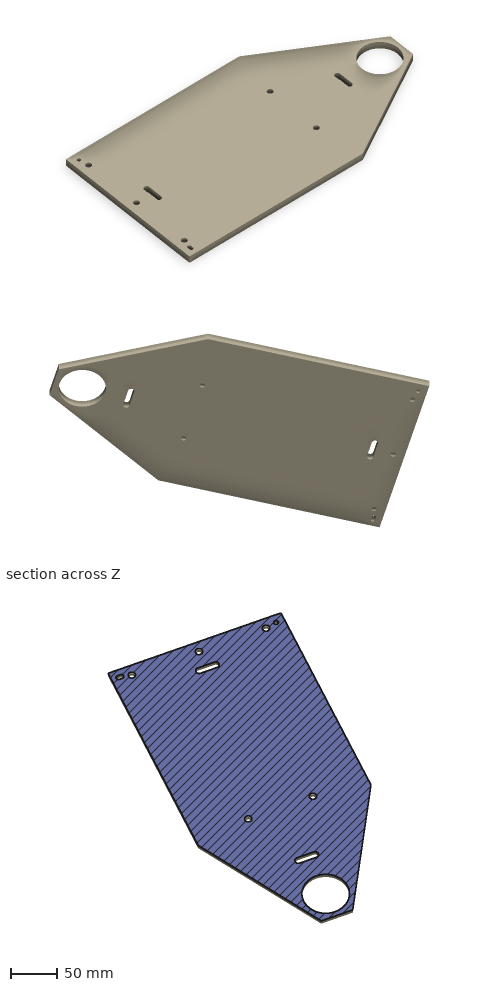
import cadquery as cq

length = 391.5
width = 203.0
thickness = 9.5
nose_width = 37.0
taper_length = 144.0
top_edge = length / 2
bottom_edge = -length / 2

opening_diameter = 51.0
opening_y = top_edge - 31.5

slot_length = 26.5
slot_width = 7.0
upper_slot_y = top_edge - 83.5
lower_slot_y = bottom_edge + 35.5

screw_diameter = 6.0
screw_head_diameter = 7.5
counterbore_depth = 5.5
upper_screw_x = 38.0
upper_screw_y = top_edge - 155.0
lower_screw_x = 78.5
lower_screw_y = bottom_edge + 12.5

pin_diameter = 4.7
pin_slot_length = 8.2
pin_x = 91.5
pin_y = bottom_edge + 9.8


def make_plate():
    """Rectangle whose upper end tapers to a narrow flat nose."""
    shoulder_y = top_edge - taper_length
    return (
        cq.Workplane("XY")
        .moveTo(-width / 2, bottom_edge)
        .lineTo(width / 2, bottom_edge)
        .lineTo(width / 2, shoulder_y)
        .lineTo(nose_width / 2, top_edge)
        .lineTo(-nose_width / 2, top_edge)
        .lineTo(-width / 2, shoulder_y)
        .close()
        .extrude(thickness)
    )


def cut_round_holes(plate, points, diameter):
    cutters = cq.Workplane("XY").pushPoints(points).circle(diameter / 2).extrude(thickness)
    return plate.cut(cutters)


def cut_slots(plate, points, overall_length, slot_height):
    cutters = cq.Workplane("XY").pushPoints(points).slot2D(overall_length, slot_height).extrude(thickness)
    return plate.cut(cutters)


def cut_screw_holes(plate, points):
    return (
        plate.faces(">Z")
        .workplane(origin=(0, 0, thickness))
        .pushPoints(points)
        .cboreHole(screw_diameter, screw_head_diameter, counterbore_depth)
    )


screw_points = [(side * upper_screw_x, upper_screw_y) for side in (-1, 1)]
screw_points += [(side * lower_screw_x, lower_screw_y) for side in (-1, 0, 1)]

result = make_plate()
result = cut_round_holes(result, [(0, opening_y)], opening_diameter)
result = cut_round_holes(result, [(-pin_x, pin_y)], pin_diameter)
result = cut_slots(result, [(0, upper_slot_y), (0, lower_slot_y)], slot_length, slot_width)
result = cut_slots(result, [(pin_x, pin_y)], pin_slot_length, pin_diameter)
result = cut_screw_holes(result, screw_points)